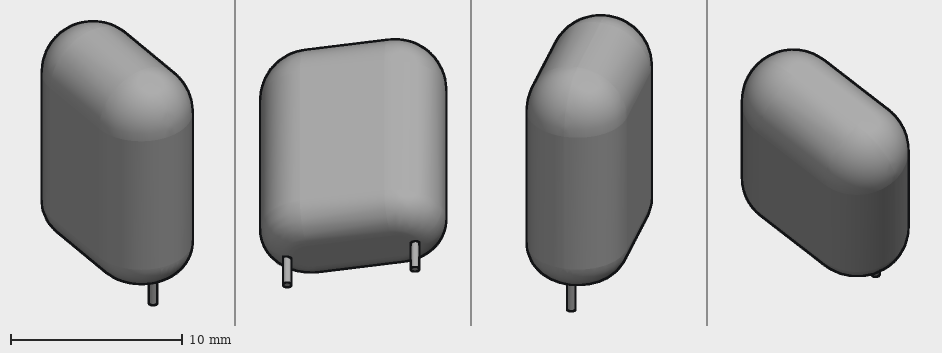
import cadquery as cq

total_height = 15.82
body_length = 11.0
body_width = 6.0
lead_length = 1.8
body_height = total_height - lead_length

middle_flat = 0.03
side_radius = (body_width - middle_flat) / 2
top_radius = side_radius
bottom_radius = 1.93

lead_diameter = 0.5
lead_pitch = 7.63
lead_offset = -0.13
lead_embed = 0.16


def make_lead(x):
    """Straight wire hanging below Z = 0, with its top end set into the body."""
    return (
        cq.Workplane("XY", origin=(x, 0, -lead_length))
        .circle(lead_diameter / 2)
        .extrude(lead_length + lead_embed)
    )


def make_body(seated_leads):
    """Block rounded on all sides, its underside on Z = 0, with a socket for each lead."""
    block = cq.Workplane("XY").box(body_length, body_width, body_height, centered=(True, True, False))
    rounded = block.edges("|Z").fillet(side_radius)
    rounded = rounded.faces(">Z").edges().fillet(top_radius)
    rounded = rounded.faces("<Z").edges().fillet(bottom_radius)
    for lead in seated_leads:
        rounded = rounded.cut(lead)
    return rounded


leads = [make_lead(lead_offset + side * lead_pitch / 2) for side in (-1, 1)]
body = make_body(leads)

result = cq.Compound.makeCompound([body.val(), *[lead.val() for lead in leads]])